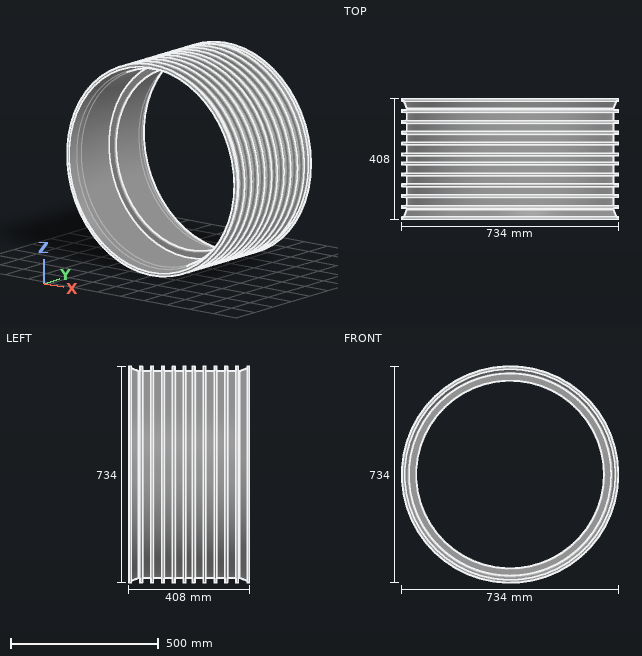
import cadquery as cq

outer_diameter = 734.0
length = 408.0
body_diameter = 702.0
bore_diameter = 685.0

flange_thickness = 8.0
flare_length = 32.0
flare_outer_diameter = 721.0
mouth_diameter = 713.5
mouth_depth = 37.0
mouth_bend_radius = 55.0

ribs_per_side = 5
rib_pitch = 37.0
first_rib_offset = 15.5
rib_thickness = 9.0

web_diameter = 635.0
web_thickness = 9.0

edge_radius = 1.8

half_length = length / 2
outer_radius = outer_diameter / 2
body_radius = body_diameter / 2
bore_radius = bore_diameter / 2
mid_wall_radius = (body_radius + bore_radius) / 2


def revolve_profile(profile):
    """Turn a closed (radius, y) outline around the Y axis."""
    return profile.close().revolve(360, (0, 0), (0, 1))


def make_shell():
    """Thin tube with a flared mouth at each end, bent smoothly into the bore."""
    upper_half = [
        (body_radius, half_length - flare_length),
        (flare_outer_diameter / 2, half_length - flange_thickness),
        (outer_radius, half_length - flange_thickness),
        (outer_radius, half_length),
        (mouth_diameter / 2, half_length),
        (bore_radius, half_length - mouth_depth),
    ]
    lower_half = [(radius, -y) for radius, y in reversed(upper_half)]
    shell = revolve_profile(cq.Workplane("XY").polyline(upper_half + lower_half))
    bore_ends = cq.selectors.RadiusNthSelector(0)
    return shell.edges(bore_ends).fillet(mouth_bend_radius)


def make_rib(y):
    """Flat rib with rounded roots; its foot is sunk into the wall."""
    side = rib_thickness / 2
    foot = side + edge_radius
    side_start = body_radius + edge_radius
    return revolve_profile(
        cq.Workplane("XY")
        .moveTo(mid_wall_radius, y - foot)
        .lineTo(body_radius, y - foot)
        .radiusArc((side_start, y - side), edge_radius)
        .lineTo(outer_radius, y - side)
        .lineTo(outer_radius, y + side)
        .lineTo(side_start, y + side)
        .radiusArc((body_radius, y + foot), edge_radius)
        .lineTo(mid_wall_radius, y + foot)
    )


def make_web():
    """Round-edged ring that narrows the bore at mid-length; its rim is sunk into the wall."""
    web_radius = web_diameter / 2
    half_thickness = web_thickness / 2
    web = revolve_profile(cq.Workplane("XY").polyline([
        (web_radius, -half_thickness),
        (mid_wall_radius, -half_thickness),
        (mid_wall_radius, half_thickness),
        (web_radius, half_thickness),
    ]))
    hole_edges = cq.selectors.RadiusNthSelector(0)
    return web.edges(hole_edges).fillet(edge_radius)


sleeve = make_shell().union(make_web())
for rib_index in range(ribs_per_side):
    rib_offset = first_rib_offset + rib_index * rib_pitch
    sleeve = sleeve.union(make_rib(rib_offset)).union(make_rib(-rib_offset))

outer_edges = cq.selectors.RadiusNthSelector(-1)
result = sleeve.edges(outer_edges).fillet(edge_radius)